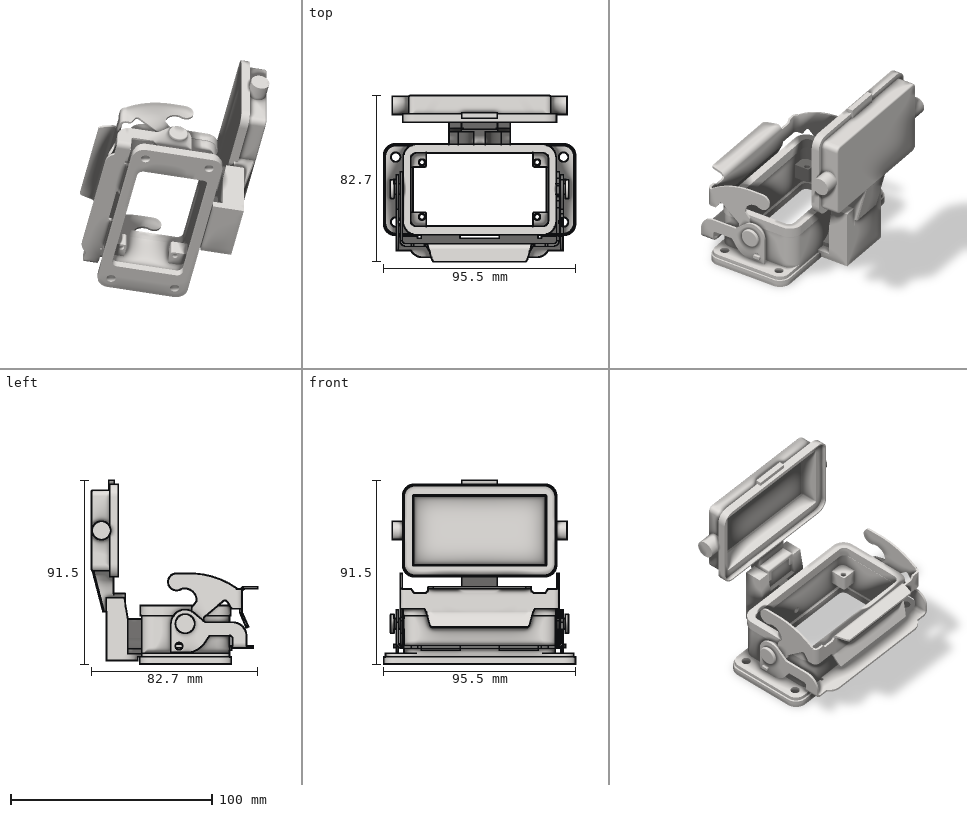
import cadquery as cq
import math


FLANGE_LENGTH = 95.5
FLANGE_DEPTH = 45.6
FLANGE_LOWER_HEIGHT = 3.6
FLANGE_HEIGHT = 5.5
FLANGE_CORNER = 6.0
BODY_LENGTH = 75.3
BODY_DEPTH = 43.7
BODY_CORNER = 6.2
FLANGE_INSET = (FLANGE_DEPTH - BODY_DEPTH) / 2
COLLAR_LENGTH = 76.0
COLLAR_DEPTH = 45.1
COLLAR_CORNER = 6.7
COLLAR_BOTTOM = 24.2
HOUSING_HEIGHT = 29.2
CAVITY_LENGTH = 68.4
CAVITY_DEPTH = 38.8
MOUTH_LENGTH = 68.6
MOUTH_DEPTH = 36.7
CAVITY_CORNER = 3.15
OPENING_LENGTH = 66.1
OPENING_DEPTH = 35.9
LEDGE_HEIGHT = 3.6
FLANGE_HOLE_DIAMETER = 4.6
FLANGE_HOLE_X = 41.7
FLANGE_HOLE_Y = 16.1
POST_INNER_X = 26.5
POST_INNER_Y = 11.2
POST_BOTTOM = 9.3
POST_TOP = 17.0
POST_CORNER = 1.1
POST_HOLE_X = 28.65
POST_HOLE_Y = 13.6
POST_HOLE_DIAMETER = 2.7
POST_HOLE_CHAMFER = 0.3
BACK_HOLE_DIAMETER = 3.2
BACK_HOLE_DEPTH = 2.5
BACK_HOLE_Z = 9.0

HINGE_WIDTH = 30.6
HINGE_GAP = 18.1
HINGE_BACK = 39.3
HINGE_FRONT = 28.65
HINGE_TOP_FRONT = 30.5
HINGE_TOP = 33.0
HINGE_BOTTOM = 1.7
HINGE_FLOOR = 22.5
FOOT_TOP = 5.2
FOOT_FRONT = 23.7
NECK_HALF_WIDTH = 10.7
NECK_RIB_HALF_WIDTH = 2.9
NECK_STEP_TOP = 7.5
NECK_CURVE_RADIUS = 5.5
WALL_OVERLAP = 0.5

LID_CENTRE_Z = 66.5
LID_FRONT = 33.4
LID_BACK = 46.8
RIM_LENGTH = 76.6
RIM_HEIGHT = 46.0
RIM_THICKNESS = 4.2
RIM_CORNER = 6.0
RIM_WALL = 0.8
SEAT_DEPTH = 2.4
SHELL_LENGTH = 70.7
SHELL_HEIGHT = 40.1
SHELL_CORNER = 2.9
SHELL_EDGE = 0.9
RECESS_LENGTH = 66.7
RECESS_HEIGHT = 35.3
RECESS_DEPTH = 11.65
RECESS_CORNER = 0.9
RECESS_FILLET = 0.7
TAB_WIDTH = 17.8
TAB_FRONT = 35.4
TAB_THICKNESS = 2.9
TAB_TOP = 91.5
LID_PIN_DIAMETER = 9.2
LID_PIN_SPAN = 86.9
LID_PIN_Y = 41.8
ARM_FRONT = 35.8
ARM_BACK_TOP = 46.3
ARM_BACK_BOTTOM = 41.1
ARM_BOTTOM = 26.2
ARM_EDGE = 0.6
ARM_OVERLAP = 0.2
LIP_TOP = 35.2
LIP_FRONT = 29.9
LIP_THICKNESS = 1.0
LIP_EDGE = 0.8
EAR_WIDTH = 1.9
EAR_BOTTOM = 28.2

SHEET = 1.1
BEND = 2.7
PIVOT_Y = 0.24
PIVOT_Z = 20.1
PIVOT_DIAMETER = 5.35
RIVET_DIAMETER = 3.2
PIVOT_HEAD_DIAMETER = 9.55
PIVOT_HEAD_OUTER = 44.3
PIVOT_HEAD_INNER = 42.5
PIVOT_HEAD_EDGE = 0.6

HOOK_OUTER_X = 39.5
PANEL_FRONT = -28.1
PANEL_TOP = 37.4
PANEL_BOTTOM = 27.5
PANEL_DIP_BOTTOM = 35.48
HANDLE_TOP = 38.6
HANDLE_FRONT = -35.9
HANDLE_ROOT_HALF = 25.7
HANDLE_TIP_HALF = 23.0
APRON_TIP_FRONT = -31.3
APRON_TIP_BACK = -30.2
APRON_ROOT_HALF = 26.55
APRON_TIP_HALF = 23.6
APRON_BOTTOM = 18.05
APRON_BEND_Z = 25.8
APRON_BEND_RADIUS = 1.4

BAIL_OUTER_X = 41.5
BAIL_EYE_RADIUS = 7.02
BAIL_ARM_TOP = 20.9
BAIL_ARM_BOTTOM = 14.2
BAIL_ARM_FRONT = -30.4
BAIL_ARM_BACK = -23.3
BAIL_BOTTOM = 7.9
PLATE_FRONT = -33.7
PLATE_BACK = -23.0
PLATE_SHOULDER_X = 34.1
PLATE_CURVE_X = 28.65
BAIL_LIP_BOTTOM = 6.9
LIP_BEND = 1.0
BAIL_LIP_OUTER_X = 29.0
BAIL_LIP_INNER_X = 9.6
NOTCH_DEPTH = 1.1
NOTCH_WIDTH = 1.7
STOP_Y = 3.2
STOP_Z = 9.0
STOP_DIAMETER = 3.6
STOP_HEIGHT = 1.6
STOP_OUTER_X = 42.8


def block(x0, x1, y0, y1, z0, z1):
    """A box given by its limits along each axis."""
    return cq.Workplane("XY").box(x1 - x0, y1 - y0, z1 - z0, centered=False).translate((x0, y0, z0))


def rounded_block(length, depth, corner, z0, z1):
    """An upright block, centred in X and Y, with rounded corners."""
    return block(-length / 2, length / 2, -depth / 2, depth / 2, z0, z1).edges("|Z").fillet(corner)


def rounded_plate(length, height, corner, y0, y1):
    """A plate facing Y, centred on the lid, with rounded corners."""
    z0 = LID_CENTRE_Z - height / 2
    plate = block(-length / 2, length / 2, y0, y1, z0, z0 + height)
    return plate.edges("|Y").fillet(corner)


def side_profile(outline, x0, x1):
    """Extrude a Y-Z outline, a list of points, from x0 to x1."""
    return cq.Workplane("YZ").workplane(offset=x0).polyline(outline).close().extrude(x1 - x0)


def rod_x(diameter, y, z, x0, x1):
    """A cylinder along X."""
    return cq.Workplane("YZ").workplane(offset=x0).center(y, z).circle(diameter / 2).extrude(x1 - x0)


def mirrored(half):
    """A shape and its mirror image on the other side of X = 0, joined."""
    return half.union(half.mirror("YZ"))


def housing_shell():
    """Stepped flange, body and collar, still solid inside."""
    length = FLANGE_LENGTH - 2 * FLANGE_INSET
    shell = rounded_block(FLANGE_LENGTH, FLANGE_DEPTH, FLANGE_CORNER, 0, FLANGE_LOWER_HEIGHT)
    shell = shell.union(
        rounded_block(length, BODY_DEPTH, FLANGE_CORNER - FLANGE_INSET, FLANGE_LOWER_HEIGHT, FLANGE_HEIGHT)
    )
    shell = shell.union(rounded_block(BODY_LENGTH, BODY_DEPTH, BODY_CORNER, FLANGE_HEIGHT, COLLAR_BOTTOM))
    shell = shell.union(
        rounded_block(COLLAR_LENGTH, COLLAR_DEPTH, COLLAR_CORNER, COLLAR_BOTTOM, HOUSING_HEIGHT)
    )
    return shell


def housing_cavity():
    """The cavity, its narrower mouth inside the collar, and the smaller opening through the flange."""
    cavity = rounded_block(CAVITY_LENGTH, CAVITY_DEPTH, CAVITY_CORNER, LEDGE_HEIGHT, COLLAR_BOTTOM)
    mouth = rounded_block(MOUTH_LENGTH, MOUTH_DEPTH, CAVITY_CORNER, COLLAR_BOTTOM, HOUSING_HEIGHT)
    cavity = cavity.union(mouth)
    return cavity.union(rounded_block(OPENING_LENGTH, OPENING_DEPTH, CAVITY_CORNER, 0, LEDGE_HEIGHT))


def corner_post(side_x, side_y):
    """A drilled post in one corner of the cavity, running into both walls."""
    length = (CAVITY_LENGTH + BODY_LENGTH) / 4 - POST_INNER_X
    depth = (CAVITY_DEPTH + BODY_DEPTH) / 4 - POST_INNER_Y
    post = block(0, length, 0, depth, POST_BOTTOM, POST_TOP).translate((POST_INNER_X, POST_INNER_Y, 0))
    post = post.edges("|Z and <X and <Y").fillet(POST_CORNER)
    post = post.edges("|Z and >X and >Y").fillet(CAVITY_CORNER)
    hole = (
        cq.Workplane("XY", origin=(POST_HOLE_X, POST_HOLE_Y, POST_BOTTOM))
        .circle(POST_HOLE_DIAMETER / 2)
        .extrude(POST_TOP - POST_BOTTOM)
    )
    post = post.cut(hole)
    hole_rim = cq.NearestToPointSelector((POST_HOLE_X, POST_HOLE_Y, POST_TOP))
    post = post.edges(hole_rim).chamfer(POST_HOLE_CHAMFER)
    if side_x < 0:
        post = post.mirror("YZ")
    if side_y < 0:
        post = post.mirror("XZ")
    return post


def hinge_block():
    """Two bevelled cheeks, the wall and foot between them, and the ribbed neck to the housing."""
    half = HINGE_WIDTH / 2
    outline = [
        (HINGE_BACK, HINGE_BOTTOM),
        (HINGE_BACK, HINGE_TOP),
        (HINGE_TOP_FRONT, HINGE_TOP),
        (HINGE_FRONT, HINGE_FLOOR),
        (HINGE_FRONT, FOOT_TOP),
        (BODY_DEPTH / 2 - WALL_OVERLAP, FOOT_TOP),
        (BODY_DEPTH / 2 - WALL_OVERLAP, FLANGE_LOWER_HEIGHT),
        (FOOT_FRONT, FLANGE_LOWER_HEIGHT),
        (FOOT_FRONT, HINGE_BOTTOM),
    ]
    hinge = side_profile(outline, -half, half)
    hinge = hinge.cut(
        block(-HINGE_GAP / 2, HINGE_GAP / 2, HINGE_FRONT, HINGE_BACK, HINGE_FLOOR, HINGE_TOP)
    )
    return hinge.union(hinge_neck())


def hinge_neck():
    """A rib with curved flanks that joins the hinge block to the back wall."""
    rib = NECK_RIB_HALF_WIDTH
    foot = NECK_HALF_WIDTH
    root = NECK_HALF_WIDTH - NECK_CURVE_RADIUS
    curve_top = NECK_STEP_TOP + NECK_CURVE_RADIUS
    return (
        cq.Workplane("XZ", origin=(0, HINGE_FRONT, 0))
        .moveTo(-foot, FOOT_TOP)
        .lineTo(-foot, NECK_STEP_TOP)
        .radiusArc((-root, curve_top), -NECK_CURVE_RADIUS)
        .lineTo(-rib, HINGE_FLOOR)
        .lineTo(rib, HINGE_FLOOR)
        .lineTo(root, curve_top)
        .radiusArc((foot, NECK_STEP_TOP), -NECK_CURVE_RADIUS)
        .lineTo(foot, FOOT_TOP)
        .close()
        .extrude(HINGE_FRONT - BODY_DEPTH / 2 + WALL_OVERLAP)
    )


def back_hole():
    """A blind hole in the middle of the back wall, opening into the cavity."""
    hole = cq.Workplane("XZ", origin=(0, CAVITY_DEPTH / 2 + BACK_HOLE_DEPTH, BACK_HOLE_Z))
    return hole.circle(BACK_HOLE_DIAMETER / 2).extrude(BACK_HOLE_DEPTH)


def make_housing():
    housing = housing_shell().union(hinge_block()).cut(housing_cavity())
    for side_x in (-1, 1):
        for side_y in (-1, 1):
            housing = housing.union(corner_post(side_x, side_y))
            hole = cq.Workplane("XY").center(side_x * FLANGE_HOLE_X, side_y * FLANGE_HOLE_Y)
            housing = housing.cut(hole.circle(FLANGE_HOLE_DIAMETER / 2).extrude(FLANGE_HEIGHT))
    rivet_hole = rod_x(RIVET_DIAMETER, PIVOT_Y, PIVOT_Z, -BODY_LENGTH / 2, BODY_LENGTH / 2)
    return housing.cut(rivet_hole).cut(back_hole())


def hinge_arm():
    """The tongue under the lid, which rests between the hinge cheeks and hooks over their floor."""
    half = TAB_WIDTH / 2
    face = LIP_FRONT + LIP_THICKNESS
    shelf = LIP_TOP - LIP_THICKNESS
    shell_bottom = LID_CENTRE_Z - SHELL_HEIGHT / 2
    outline = [
        (ARM_BACK_TOP, shell_bottom + ARM_OVERLAP),
        (ARM_BACK_TOP, shell_bottom),
        (ARM_BACK_BOTTOM, ARM_BOTTOM),
        (HINGE_BACK, ARM_BOTTOM),
        (HINGE_BACK, HINGE_FLOOR),
        (face, HINGE_FLOOR),
        (face, shelf),
        (ARM_FRONT, shelf),
        (ARM_FRONT, shell_bottom + ARM_OVERLAP),
    ]
    arm = side_profile(outline, -half, half)
    back_middle_y = (ARM_BACK_TOP + ARM_BACK_BOTTOM) / 2
    back_middle_z = (shell_bottom + ARM_BOTTOM) / 2
    for x in (-half, half):
        arm = arm.edges(cq.NearestToPointSelector((x, back_middle_y, back_middle_z))).chamfer(ARM_EDGE)
    return arm.union(hinge_lip())


def hinge_lip():
    """The rounded lip on the front of the tongue, with an ear at each end."""
    half = TAB_WIDTH / 2
    face = LIP_FRONT + LIP_THICKNESS
    cap = block(-half, half, LIP_FRONT, ARM_FRONT, LIP_TOP - LIP_THICKNESS, LIP_TOP)
    ears = block(-half, half, LIP_FRONT, face, EAR_BOTTOM, LIP_TOP - LIP_THICKNESS)
    lip = cap.union(ears).clean()
    lip = lip.faces(">Z").edges("not(>Y)").fillet(LIP_EDGE)
    window_top = LIP_TOP - 2 * LIP_THICKNESS
    return lip.cut(block(EAR_WIDTH - half, half - EAR_WIDTH, LIP_FRONT, face, EAR_BOTTOM, window_top))


def make_lid():
    rim_back = LID_FRONT + RIM_THICKNESS
    rim = rounded_plate(RIM_LENGTH, RIM_HEIGHT, RIM_CORNER, LID_FRONT, rim_back)
    shell = rounded_plate(SHELL_LENGTH, SHELL_HEIGHT, SHELL_CORNER, rim_back, LID_BACK)
    shell = shell.faces(">Y").edges().fillet(SHELL_EDGE)
    lid_top = LID_CENTRE_Z + SHELL_HEIGHT / 2
    tab = block(-TAB_WIDTH / 2, TAB_WIDTH / 2, TAB_FRONT, TAB_FRONT + TAB_THICKNESS, lid_top, TAB_TOP)
    pins = rod_x(LID_PIN_DIAMETER, LID_PIN_Y, LID_CENTRE_Z, -LID_PIN_SPAN / 2, LID_PIN_SPAN / 2)
    recess = rounded_plate(RECESS_LENGTH, RECESS_HEIGHT, RECESS_CORNER, LID_FRONT, LID_FRONT + RECESS_DEPTH)
    recess = recess.faces(">Y").chamfer(RECESS_FILLET)
    seat = rounded_plate(
        RIM_LENGTH - 2 * RIM_WALL,
        RIM_HEIGHT - 2 * RIM_WALL,
        RIM_CORNER - RIM_WALL,
        LID_FRONT,
        LID_FRONT + SEAT_DEPTH,
    )
    return rim.union(shell).union(tab).union(pins).union(hinge_arm()).cut(seat).cut(recess)


def hook_plate():
    """The -X side plate: a hook at the top, the pivot eye, and a tail that ends above the flange."""
    corner_front = PANEL_FRONT + BEND
    plate = (
        cq.Workplane("YZ", origin=(-HOOK_OUTER_X, 0, 0))
        .moveTo(4.35, 45.2)
        .lineTo(-4.0, 45.2)
        .threePointArc((-15.3, 43.0), (corner_front, 37.8))
        .lineTo(corner_front, PANEL_BOTTOM)
        .lineTo(-22.9, PANEL_BOTTOM)
        .lineTo(-20.8, 30.8)
        .threePointArc((-19.7, 31.6), (-18.3, 30.9))
        .lineTo(-9.1, 23.2)
        .lineTo(-9.1, 21.7)
        .lineTo(-3.6, 15.3)
        .lineTo(-3.6, 13.2)
        .threePointArc((PIVOT_Y, 9.4), (4.1, 13.2))
        .lineTo(5.6, PIVOT_Z)
        .threePointArc((2.3, 25.1), (-3.0, 24.45))
        .lineTo(-3.0, 28.2)
        .lineTo(-5.4, 31.3)
        .threePointArc((-3.2, 36.3), (1.9, 37.4))
        .threePointArc((7.8, 38.2), (4.35, 45.2))
        .close()
        .extrude(SHEET)
    )
    eye = rod_x(PIVOT_DIAMETER, PIVOT_Y, PIVOT_Z, -HOOK_OUTER_X, SHEET - HOOK_OUTER_X)
    return plate.cut(eye)


def panel_strip():
    """The sheet that joins both side plates, rounded where it bends into them."""
    back = PANEL_FRONT + BEND
    ring = (
        cq.Workplane("XY", origin=(0, 0, PANEL_BOTTOM))
        .moveTo(-HOOK_OUTER_X, back)
        .radiusArc((BEND - HOOK_OUTER_X, PANEL_FRONT), -BEND)
        .lineTo(0, PANEL_FRONT)
        .lineTo(0, PANEL_FRONT + SHEET)
        .lineTo(BEND - HOOK_OUTER_X, PANEL_FRONT + SHEET)
        .radiusArc((SHEET - HOOK_OUTER_X, back), BEND - SHEET)
        .close()
        .extrude(PANEL_TOP - PANEL_BOTTOM)
    )
    dip_outline = [
        (-34.0, PANEL_TOP),
        (-32.7, PANEL_DIP_BOTTOM),
        (-26.7, PANEL_DIP_BOTTOM),
        (-HANDLE_ROOT_HALF, 36.6),
        (-HANDLE_ROOT_HALF, HANDLE_TOP - BEND),
        (0, HANDLE_TOP - BEND),
        (0, PANEL_TOP),
    ]
    dip = cq.Workplane("XZ").polyline(dip_outline).close().extrude(-PANEL_FRONT)
    return mirrored(ring.cut(dip))


def handle():
    """The flap bent forward from the top of the panel, narrowing to its tip."""
    tip_corner = 0.8
    tip_corner_depth = 1.1
    outline = [
        (-HANDLE_ROOT_HALF, PANEL_FRONT + SHEET),
        (-HANDLE_ROOT_HALF, PANEL_FRONT),
        (-HANDLE_TIP_HALF - tip_corner, HANDLE_FRONT + tip_corner_depth),
        (-HANDLE_TIP_HALF, HANDLE_FRONT),
        (0, HANDLE_FRONT),
        (0, PANEL_FRONT + SHEET),
    ]
    bend_start = HANDLE_TOP - BEND
    sheet = (
        cq.Workplane("YZ", origin=(-HANDLE_ROOT_HALF, 0, 0))
        .moveTo(PANEL_FRONT + SHEET, bend_start)
        .radiusArc((PANEL_FRONT + SHEET - BEND, HANDLE_TOP), -BEND)
        .lineTo(HANDLE_FRONT, HANDLE_TOP)
        .lineTo(HANDLE_FRONT, HANDLE_TOP - SHEET)
        .lineTo(PANEL_FRONT + SHEET - BEND, HANDLE_TOP - SHEET)
        .radiusArc((PANEL_FRONT, bend_start), BEND - SHEET)
        .close()
        .extrude(2 * HANDLE_ROOT_HALF)
    )
    plan = cq.Workplane("XY", origin=(0, 0, bend_start)).polyline(outline).close().extrude(BEND)
    return sheet.intersect(mirrored(plan))


def apron():
    """The flap that slopes forward and down from the bottom of the panel."""
    tip_rise = 0.6
    root_flare = 0.9
    corner = 1.1
    profile = [
        (PANEL_FRONT + SHEET, PANEL_BOTTOM),
        (PANEL_FRONT, PANEL_BOTTOM),
        (PANEL_FRONT, APRON_BEND_Z),
        (APRON_TIP_FRONT, APRON_BOTTOM + tip_rise),
        (APRON_TIP_BACK, APRON_BOTTOM),
        (PANEL_FRONT + SHEET, APRON_BEND_Z),
    ]
    widest = APRON_ROOT_HALF + root_flare
    flap = side_profile(profile, -widest, widest)
    bend_line = cq.NearestToPointSelector((0, PANEL_FRONT, APRON_BEND_Z))
    flap = flap.edges(bend_line).fillet(APRON_BEND_RADIUS)
    half_front = [
        (APRON_TIP_HALF, APRON_BOTTOM),
        (APRON_TIP_HALF + corner, APRON_BOTTOM + corner),
        (APRON_ROOT_HALF, APRON_BEND_Z),
        (widest, PANEL_BOTTOM),
    ]
    front = half_front + [(-x, z) for x, z in reversed(half_front)]
    return flap.intersect(cq.Workplane("XZ").polyline(front).close().extrude(-HANDLE_FRONT))


def make_hook_lever():
    return mirrored(hook_plate()).union(panel_strip()).union(handle()).union(apron())


def bail_arm():
    """The -X arm: a broad eye around the pivot and a narrow arm that drops at the front."""
    eye_shoulder = BAIL_EYE_RADIUS * math.sqrt(0.5)
    outer_bend = BAIL_ARM_BACK - BAIL_ARM_FRONT
    bend_z = BAIL_ARM_TOP - outer_bend
    inner_corner = 1.0
    eye_bottom = 5.8
    return (
        cq.Workplane("YZ", origin=(-BAIL_OUTER_X, 0, 0))
        .moveTo(PIVOT_Y + BAIL_EYE_RADIUS, eye_bottom)
        .lineTo(PIVOT_Y + BAIL_EYE_RADIUS, PIVOT_Z)
        .threePointArc(
            (PIVOT_Y, PIVOT_Z + BAIL_EYE_RADIUS), (PIVOT_Y - eye_shoulder, PIVOT_Z + eye_shoulder)
        )
        .lineTo(-9.7, BAIL_ARM_TOP)
        .lineTo(BAIL_ARM_BACK, BAIL_ARM_TOP)
        .radiusArc((BAIL_ARM_FRONT, bend_z), -outer_bend)
        .lineTo(BAIL_ARM_FRONT, BAIL_BOTTOM + BEND)
        .lineTo(BAIL_ARM_BACK, BAIL_BOTTOM + BEND)
        .lineTo(BAIL_ARM_BACK, BAIL_ARM_BOTTOM - inner_corner)
        .lineTo(BAIL_ARM_BACK + inner_corner, BAIL_ARM_BOTTOM)
        .lineTo(-12.0, BAIL_ARM_BOTTOM)
        .lineTo(-10.7, 12.4)
        .threePointArc((-7.6, 8.5), (-2.4, eye_bottom))
        .close()
        .extrude(SHEET)
    )


def pivot_pin():
    """The headed pivot on the -X side, stepped down to a rivet that ends flush in the cavity."""
    rivet = rod_x(RIVET_DIAMETER, PIVOT_Y, PIVOT_Z, -BODY_LENGTH / 2, -CAVITY_LENGTH / 2)
    pin = rod_x(PIVOT_DIAMETER, PIVOT_Y, PIVOT_Z, -PIVOT_HEAD_INNER, -BODY_LENGTH / 2)
    head = rod_x(PIVOT_HEAD_DIAMETER, PIVOT_Y, PIVOT_Z, -PIVOT_HEAD_OUTER, -PIVOT_HEAD_INNER)
    head = head.edges().fillet(PIVOT_HEAD_EDGE)
    return rivet.union(pin).union(head)


def stop_bridge():
    """A round hole near the foot of the eye, and the bar pressed outward across it."""
    disc = rod_x(STOP_DIAMETER, STOP_Y, STOP_Z, -STOP_OUTER_X, SHEET - BAIL_OUTER_X)
    reach = STOP_DIAMETER / 2
    bar = block(
        -STOP_OUTER_X,
        SHEET - BAIL_OUTER_X,
        STOP_Y - reach,
        STOP_Y + reach,
        STOP_Z - STOP_HEIGHT / 2,
        STOP_Z + STOP_HEIGHT / 2,
    )
    return disc, bar.intersect(disc)


def bail_bend():
    """The rounded bend between the -X arm and the plate."""
    return (
        cq.Workplane("XZ", origin=(0, BAIL_ARM_BACK, 0))
        .moveTo(-BAIL_OUTER_X, BAIL_BOTTOM + BEND)
        .radiusArc((BEND - BAIL_OUTER_X, BAIL_BOTTOM), -BEND)
        .lineTo(BEND - BAIL_OUTER_X, BAIL_BOTTOM + SHEET)
        .radiusArc((SHEET - BAIL_OUTER_X, BAIL_BOTTOM + BEND), BEND - SHEET)
        .close()
        .extrude(BAIL_ARM_BACK - BAIL_ARM_FRONT)
    )


def bail_plate():
    """The -X half of the pressing plate, with relief notches beside its down-turned lip."""
    plate = (
        cq.Workplane("XY", origin=(0, 0, BAIL_BOTTOM))
        .moveTo(0, PLATE_BACK)
        .lineTo(BEND - BAIL_OUTER_X, PLATE_BACK)
        .lineTo(BEND - BAIL_OUTER_X, BAIL_ARM_FRONT)
        .lineTo(-PLATE_SHOULDER_X, BAIL_ARM_FRONT)
        .threePointArc((-31.9, -32.7), (-PLATE_CURVE_X, PLATE_FRONT))
        .lineTo(0, PLATE_FRONT)
        .close()
        .extrude(SHEET)
    )
    plate_top = BAIL_BOTTOM + SHEET
    notch_front = PLATE_BACK - NOTCH_DEPTH
    notch_outer = -BAIL_LIP_OUTER_X - NOTCH_WIDTH
    plate = plate.cut(block(notch_outer, -BAIL_LIP_OUTER_X, notch_front, PLATE_BACK, BAIL_BOTTOM, plate_top))
    plate = plate.cut(block(-BAIL_LIP_INNER_X, 0, notch_front, PLATE_BACK, BAIL_BOTTOM, plate_top))
    lip = block(
        -BAIL_LIP_OUTER_X, -BAIL_LIP_INNER_X, PLATE_BACK, PLATE_BACK + SHEET, BAIL_LIP_BOTTOM, plate_top
    )
    lip = lip.edges("|X and >Y and >Z").fillet(LIP_BEND)
    return plate.union(lip)


def make_bail():
    hole, bar = stop_bridge()
    half = bail_arm().cut(hole).union(bar).union(pivot_pin()).union(bail_bend()).union(bail_plate())
    return mirrored(half)


housing = make_housing()
lid = make_lid()
hook_lever = make_hook_lever()
bail = make_bail()

result = cq.Compound.makeCompound([housing.val(), lid.val(), hook_lever.val(), bail.val()])